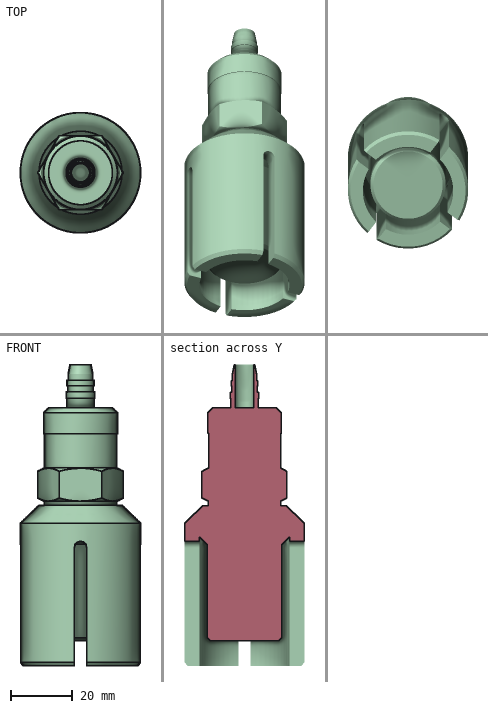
import cadquery as cq
import math

TOTAL_HEIGHT = 97.6

BODY_DIAMETER = 39.0
RIM_CHAMFER_HEIGHT = 1.2
RIM_CHAMFER_WIDTH = 0.9
SHOULDER_BOTTOM_Z = 46.2
SHOULDER_TOP_Z = 52.0
SHOULDER_TOP_DIAMETER = 26.9

CAVITY_DIAMETER = 29.3
CORE_DIAMETER = 24.4
CORE_BOTTOM_Z = 8.1
CORE_CHAMFER = 1.0
CORE_TOP_Z = 39.3
CAVITY_TOP_Z = CORE_TOP_Z + (CAVITY_DIAMETER - CORE_DIAMETER) / 2

SLOT_WIDTH = 3.9
SLOT_TOP_Z = 40.3
SLOT_COUNT = 4
SLOT_OVERLAP = 1.0

NECK_DIAMETER = 23.6
HEX_FLATS = 24.0
HEX_END_DIAMETER = 23.6
HEX_BOTTOM_Z = 53.3
HEX_TOP_Z = 64.1
HEX_CORNER_DROP = 1.1

COLLAR_DIAMETER = 23.5
CAP_DIAMETER = 24.0
CAP_BOTTOM_Z = 75.25
CAP_CHAMFER = 1.7
CAP_TOP_Z = 83.6

BARB_TIP_DIAMETER = 6.8
BARB_BANDS = [
    (8.0, 94.6),
    (8.8, 92.5),
    (8.4, 90.8),
    (9.4, 88.8),
    (9.0, 86.7),
]
BORE_DIAMETER = 6.0


def revolve(profile):
    """Turn (diameter, height) points about Z, closing the outline on the axis."""
    points = [(diameter / 2, height) for diameter, height in profile]
    outline = [(0, points[0][1])] + points + [(0, points[-1][1])]
    return cq.Workplane("XZ").polyline(outline).close().revolve(360, (0, 0), (0, 1))


def barb_profile():
    points = []
    bottom_z = CAP_TOP_Z
    for diameter, top_z in reversed(BARB_BANDS):
        points += [(diameter, bottom_z), (diameter, top_z)]
        bottom_z = top_z
    return points + [(BARB_TIP_DIAMETER, TOTAL_HEIGHT)]


def make_body():
    return revolve([
        (BODY_DIAMETER - 2 * RIM_CHAMFER_WIDTH, 0),
        (BODY_DIAMETER, RIM_CHAMFER_HEIGHT),
        (BODY_DIAMETER, SHOULDER_BOTTOM_Z),
        (SHOULDER_TOP_DIAMETER, SHOULDER_TOP_Z),
        (NECK_DIAMETER, SHOULDER_TOP_Z),
        (NECK_DIAMETER, HEX_BOTTOM_Z),
        (COLLAR_DIAMETER, HEX_BOTTOM_Z),
        (COLLAR_DIAMETER, CAP_BOTTOM_Z),
        (CAP_DIAMETER, CAP_BOTTOM_Z),
        (CAP_DIAMETER, CAP_TOP_Z - CAP_CHAMFER),
        (CAP_DIAMETER - 2 * CAP_CHAMFER, CAP_TOP_Z),
    ] + barb_profile())


def make_hexagon():
    corner_diameter = HEX_FLATS / math.cos(math.radians(30))
    height = HEX_TOP_Z - HEX_BOTTOM_Z
    prism = cq.Workplane("XY").workplane(offset=HEX_BOTTOM_Z).polygon(6, corner_diameter).extrude(height)
    cone_ends = revolve([
        (HEX_END_DIAMETER, HEX_BOTTOM_Z),
        (corner_diameter, HEX_BOTTOM_Z + HEX_CORNER_DROP),
        (corner_diameter, HEX_TOP_Z - HEX_CORNER_DROP),
        (HEX_END_DIAMETER, HEX_TOP_Z),
    ])
    return prism.intersect(cone_ends)


def make_cavity():
    """Open at the bottom; its roof slopes up from the core to the outer wall."""
    return revolve([
        (CAVITY_DIAMETER, 0),
        (CAVITY_DIAMETER, CAVITY_TOP_Z),
        (CORE_DIAMETER, CORE_TOP_Z),
        (CORE_DIAMETER, CORE_BOTTOM_Z + CORE_CHAMFER),
        (CORE_DIAMETER - 2 * CORE_CHAMFER, CORE_BOTTOM_Z),
    ])


def make_slot():
    """Round-topped slot through the +X wall, reaching a little way into the cavity."""
    half_width = SLOT_WIDTH / 2
    arc_z = SLOT_TOP_Z - half_width
    slot = (
        cq.Workplane("YZ")
        .moveTo(-half_width, 0)
        .lineTo(-half_width, arc_z)
        .threePointArc((0, SLOT_TOP_Z), (half_width, arc_z))
        .lineTo(half_width, 0)
        .close()
        .extrude(BODY_DIAMETER)
    )
    kept_middle = cq.Workplane("XY").circle(CAVITY_DIAMETER / 2 - SLOT_OVERLAP).extrude(CAVITY_TOP_Z)
    return slot.cut(kept_middle)


result = make_body().union(make_hexagon()).cut(make_cavity())
for index in range(SLOT_COUNT):
    slot_angle = index * 360 / SLOT_COUNT
    result = result.cut(make_slot().rotate((0, 0, 0), (0, 0, 1), slot_angle))

bore = (
    cq.Workplane("XY")
    .workplane(offset=CAP_TOP_Z)
    .circle(BORE_DIAMETER / 2)
    .extrude(TOTAL_HEIGHT - CAP_TOP_Z)
)
result = result.cut(bore)